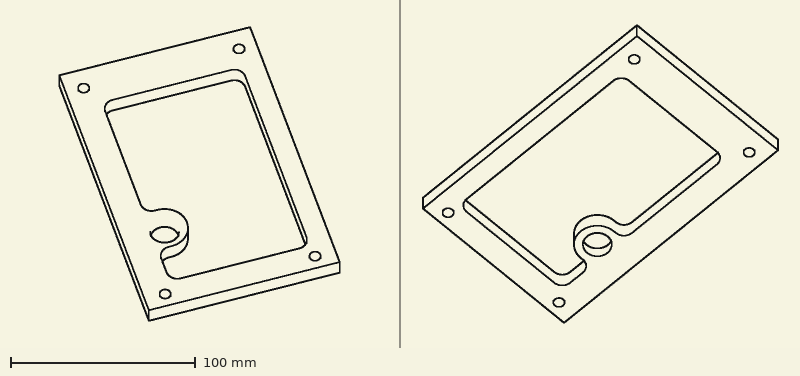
import cadquery as cq

length = 163.5
width = 108.0
thickness = 10.0

left_margin = 24.2
right_margin = 15.2
front_margin = 16.7
back_margin = 12.3
corner_radius = 6.0

lug_x = 113.8
lug_y = 24.4
lug_diameter = 25.3
lug_bore_diameter = 15.5
bore_round_radius = 4.0

hole_diameter = 6.0
left_hole_x = 12.1
left_hole_spacing = 88.0
right_hole_x = 155.8
right_hole_spacing = 84.9


def make_plate():
    return cq.Workplane("XY").box(length, width, thickness, centered=False)


def make_window():
    """Cutter for the window, leaving the round-ended lug in place."""
    window_length = length - left_margin - right_margin
    window_width = width - front_margin - back_margin
    window = (
        cq.Workplane("XY")
        .box(window_length, window_width, thickness, centered=False)
        .translate((left_margin, front_margin, 0))
    )
    lug_end = (
        cq.Workplane("XY")
        .center(lug_x, lug_y)
        .circle(lug_diameter / 2)
        .extrude(thickness)
    )
    lug_neck = (
        cq.Workplane("XY")
        .center(lug_x, lug_y / 2)
        .rect(lug_diameter, lug_y)
        .extrude(thickness)
    )
    window = window.cut(lug_end.union(lug_neck))
    y_front = front_margin
    y_back = width - back_margin
    tolerance = 0.02
    corners = window.edges("|Z").filter(
        lambda edge: min(abs(edge.Center().y - y_front), abs(edge.Center().y - y_back)) < tolerance
    )
    return corners.fillet(corner_radius)


def make_lug_bore():
    """Cutter for the bore, whose mouth flares out in a convex quarter round."""
    bore_radius = lug_bore_diameter / 2
    mouth_radius = bore_radius + bore_round_radius
    round_start = thickness - bore_round_radius
    return (
        cq.Workplane("XZ")
        .lineTo(bore_radius, 0)
        .lineTo(bore_radius, round_start)
        .radiusArc((mouth_radius, thickness), bore_round_radius)
        .lineTo(0, thickness)
        .close()
        .revolve(360, (0, 0), (0, 1))
        .translate((lug_x, lug_y, 0))
    )


def make_mounting_holes():
    centres = []
    for x, spacing in ((left_hole_x, left_hole_spacing), (right_hole_x, right_hole_spacing)):
        for side in (-1, 1):
            centres.append((x, width / 2 + side * spacing / 2))
    return cq.Workplane("XY").pushPoints(centres).circle(hole_diameter / 2).extrude(thickness)


result = make_plate().cut(make_window()).cut(make_lug_bore()).cut(make_mounting_holes())